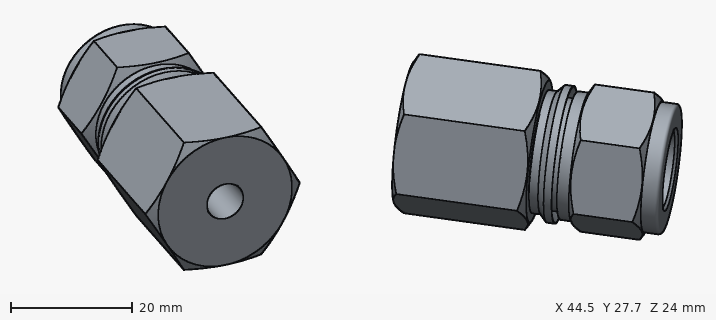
import cadquery as cq
import math

length = 44.5
nut_start = 2.9
nut_end = 15.05
collar_end = 17.1
flange_start = 17.8
flange_rim_end = 19.15
flange_cone_end = 20.3
dish_end = 19.35
shoulder_end = 21.8
body_start = 22.0

sleeve_d = 21.8
collar_d = 21.5
neck_d = 18.9
flange_d = 23.0
dish_d = 22.7
shoulder_d = 20.6
nut_flats = 22.2
nut_front_face_d = 22.0
body_flats = 24.0
body_front_face_d = 23.67

hex_bevel_angle = 30.0
sleeve_round = 0.55
collar_round = 0.25

mouth_d = 13.9
tube_d = 12.9
seat_d = 10.4
through_d = 6.5
tube_depth = 22.25
mouth_depth = (mouth_d - tube_d) / 2
seat_half_angle = 60.0
seat_depth = (seat_d - through_d) / 2 / math.tan(math.radians(seat_half_angle))


def cylinder(start, end, diameter):
    """Solid cylinder along X between two stations."""
    return cq.Workplane("YZ", origin=(start, 0, 0)).circle(diameter / 2).extrude(end - start)


def revolve_about_axis(points):
    """Revolve a closed (x, radius) outline about the fitting axis."""
    return cq.Workplane("XY").polyline(points).close().revolve(360, (0, 0, 0), (1, 0, 0))


def beveled_hexagon(start, end, flats, start_face_d, end_face_d):
    """Hexagonal bar, corners on the Y axis, with conically beveled ends."""
    corners = flats / math.cos(math.pi / 6)
    bar = cq.Workplane("YZ", origin=(start, 0, 0)).polygon(6, corners).extrude(end - start)
    slope = math.tan(math.radians(hex_bevel_angle))
    start_bevel = (corners - start_face_d) / 2 * slope
    end_bevel = (corners - end_face_d) / 2 * slope
    envelope = revolve_about_axis([
        (start, 0),
        (start, start_face_d / 2),
        (start + start_bevel, corners / 2),
        (end - end_bevel, corners / 2),
        (end, end_face_d / 2),
        (end, 0),
    ])
    return bar.intersect(envelope)


sleeve = cylinder(0, nut_start, sleeve_d).faces("<X").edges().fillet(sleeve_round)
nut = beveled_hexagon(nut_start, nut_end, nut_flats, nut_front_face_d, collar_d)
collar = cylinder(nut_end, collar_end, collar_d).faces(">X").edges().fillet(collar_round)

neck = cylinder(collar_end, flange_cone_end, neck_d)
flange = revolve_about_axis([
    (dish_end, 0),
    (dish_end, neck_d / 2),
    (flange_start, dish_d / 2),
    (flange_start, flange_d / 2),
    (flange_rim_end, flange_d / 2),
    (flange_cone_end, shoulder_d / 2),
    (flange_cone_end, 0),
])
shoulder = cylinder(flange_cone_end, shoulder_end, shoulder_d)
relief = cylinder(shoulder_end, body_start, neck_d)
body = beveled_hexagon(body_start, length, body_flats, body_front_face_d, body_flats)

result = sleeve
for section in (nut, collar, neck, flange, shoulder, relief, body):
    result = result.union(section)

bore = revolve_about_axis([
    (0, 0),
    (0, mouth_d / 2),
    (mouth_depth, tube_d / 2),
    (tube_depth, tube_d / 2),
    (tube_depth, seat_d / 2),
    (tube_depth + seat_depth, through_d / 2),
    (length, through_d / 2),
    (length, 0),
])
result = result.cut(bore)